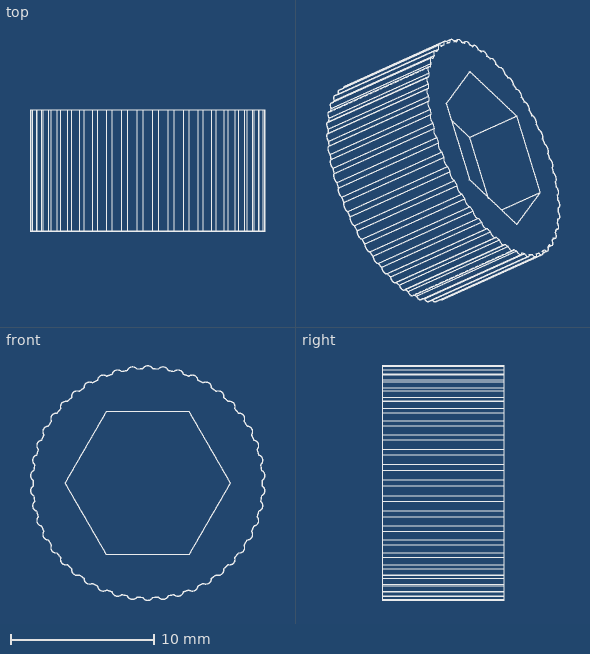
import cadquery as cq

outer_radius = 8.2
length = 8.5
rib_count = 46
rib_radius = 0.4
root_radius = 8.0
hex_across_corners = 11.55
socket_depth = 4.0

rib_center_radius = outer_radius - rib_radius
first_rib_angle = 90


def make_knurled_body():
    """Plain cylinder with round ribs along its length, one of them at the very top."""
    core = cq.Workplane("XZ").circle(root_radius).extrude(-length)
    ribs = (
        cq.Workplane("XZ")
        .polarArray(rib_center_radius, first_rib_angle, 360, rib_count)
        .circle(rib_radius)
        .extrude(-length)
    )
    return core.union(ribs)


def make_hex_socket():
    """Blind hexagonal socket entering from the -Y end face, flats at top and bottom."""
    return cq.Workplane("XZ").polygon(6, hex_across_corners).extrude(-socket_depth)


result = make_knurled_body().cut(make_hex_socket())